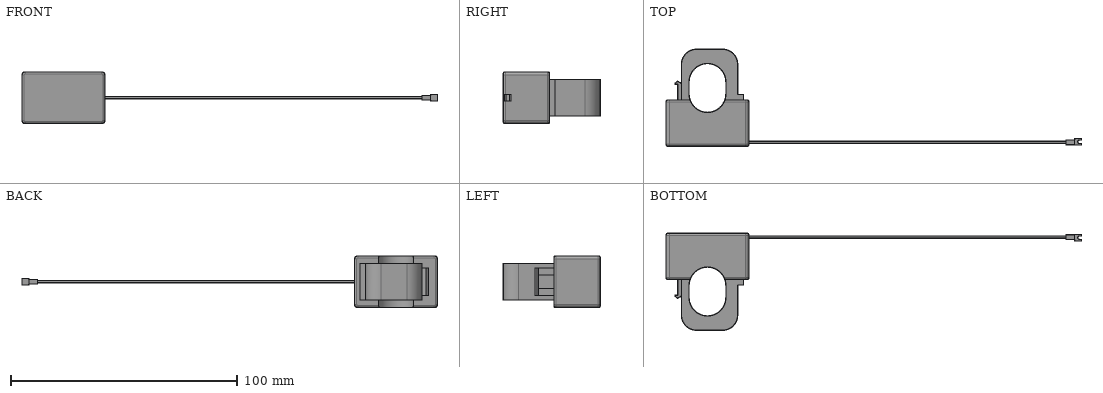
import cadquery as cq

total_length = 183.7
total_height = 43.0

housing_length = 36.7
housing_height = 20.5
housing_depth = 23.0
side_edge_radius = 1.5
housing_edge_radius = 1.0

bore_x = 18.4
bore_width = 16.2
bore_height = 21.5
bore_top_wall = 6.5
bore_y = total_height - bore_top_wall - bore_height / 2

clamp_left = 6.8
clamp_width = 25.0
clamp_depth = 16.2
clamp_corner_radius = 6.8
clamp_right = clamp_left + clamp_width
clamp_height = total_height - housing_height

foot_length = 2.5
foot_height = 2.4

latch_thickness = 1.7
latch_depth = 12.0
latch_height = 8.3
latch_recess_depth = 6.0
latch_bar_height = 1.5
latch_lip = 1.1
latch_slope = 1.0
latch_recess = 0.5

cable_diameter = 1.1
cable_y = 1.75

plug_length = 7.0
plug_neck_length = 3.9
plug_neck_width = 2.2
plug_neck_depth = 2.0
plug_head_width = 3.0
plug_head_depth = 3.0
plug_head_offset = 0.28
plug_slot_width = 1.5
plug_slot_depth = 1.7
plug_start = total_length - plug_length
plug_head_start = plug_start + plug_neck_length
plug_head_length = plug_length - plug_neck_length


def box(x, y, length, height, depth):
    """Block with its low X-Y corner at (x, y), centred on the mid plane."""
    return cq.Workplane("XY").box(length, height, depth, centered=(False, False, True)).translate((x, y, 0))


def make_bore():
    """Round-ended passage along Z."""
    return (
        cq.Workplane("XY")
        .center(bore_x, bore_y)
        .slot2D(bore_height, bore_width, 90)
        .extrude(housing_depth, both=True)
    )


def make_latch():
    """Tab with a recessed middle, ending in a bar whose lip points away from the arch."""
    leg_x = clamp_left - latch_thickness
    lip_x = leg_x - latch_lip
    top = housing_height + latch_height
    bar_bottom = top - latch_bar_height
    latch = (
        cq.Workplane("XY")
        .moveTo(clamp_left, housing_height)
        .lineTo(clamp_left, top - latch_slope)
        .lineTo(leg_x, top)
        .lineTo(lip_x, top - latch_slope)
        .lineTo(lip_x, bar_bottom)
        .lineTo(leg_x, bar_bottom)
        .lineTo(leg_x, housing_height)
        .close()
        .extrude(latch_depth / 2, both=True)
    )
    recess_height = latch_height - latch_bar_height
    recess = box(leg_x, housing_height, latch_recess, recess_height, latch_recess_depth)
    return latch.cut(recess)


def make_clamp():
    """Arch with rounded upper corners and a foot on its +X side."""
    arch = box(clamp_left, housing_height, clamp_width, clamp_height, clamp_depth)
    arch = arch.edges("|Z and >Y").fillet(clamp_corner_radius)
    foot = box(clamp_right, housing_height, foot_length, foot_height, clamp_depth)
    return arch.union(foot)


def make_plug():
    """Narrow neck and a wider head with a round-ended slot in its tip."""
    neck = box(plug_start, cable_y - plug_neck_width / 2, plug_neck_length, plug_neck_width, plug_neck_depth)
    head_y = cable_y + plug_head_offset
    head = box(plug_head_start, head_y - plug_head_width / 2, plug_head_length, plug_head_width, plug_head_depth)
    slot = (
        cq.Workplane("XY")
        .center(total_length, head_y)
        .slot2D(2 * plug_slot_depth, plug_slot_width)
        .extrude(plug_head_depth, both=True)
    )
    return neck.union(head.cut(slot))


def make_sensor():
    """Housing block and clamp arch in one piece, with the bore through both."""
    block = box(0, 0, housing_length, housing_height, housing_depth)
    block = block.edges("|Y").fillet(side_edge_radius)
    block = block.faces("<Y or >Y").edges().fillet(housing_edge_radius)
    return block.union(make_clamp()).cut(make_bore()).union(make_latch())


def make_lead():
    """Round cable that butts against the housing wall, with the plug on its free end."""
    cable = (
        cq.Workplane("YZ", origin=(housing_length, cable_y, 0))
        .circle(cable_diameter / 2)
        .extrude(plug_start - housing_length)
    )
    return cable.union(make_plug())


sensor = make_sensor()
lead = make_lead()

result = cq.Compound.makeCompound([sensor.val(), lead.val()])